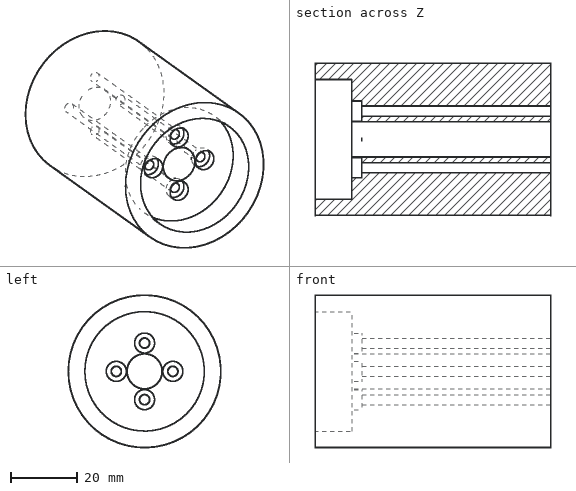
import cadquery as cq

length = 71.0
outer_diameter = 46.0
recess_diameter = 36.0
recess_depth = 11.0
shaft_hole_diameter = 10.5

screw_count = 4
screw_circle_diameter = 17.05
screw_hole_diameter = 3.0
counterbore_diameter = 6.0
counterbore_depth = 3.0

end_face = -length / 2
hub_face = end_face + recess_depth
hub_length = length - recess_depth


def cylinder_along_x(diameter, start, depth):
    """Solid cylinder on the X axis, running from x = start toward +X."""
    return cq.Workplane("YZ", origin=(start, 0, 0)).circle(diameter / 2).extrude(depth)


def screw_pattern(diameter, depth):
    """Ring of equal cylinders on the screw circle, running from the hub face toward +X."""
    return (
        cq.Workplane("YZ", origin=(hub_face, 0, 0))
        .polarArray(screw_circle_diameter / 2, 0, 360, screw_count)
        .circle(diameter / 2)
        .extrude(depth)
    )


result = cylinder_along_x(outer_diameter, end_face, length)
result = result.cut(cylinder_along_x(recess_diameter, end_face, recess_depth))

result = result.cut(cylinder_along_x(shaft_hole_diameter, hub_face, hub_length))

result = result.cut(screw_pattern(screw_hole_diameter, hub_length))
result = result.cut(screw_pattern(counterbore_diameter, counterbore_depth))